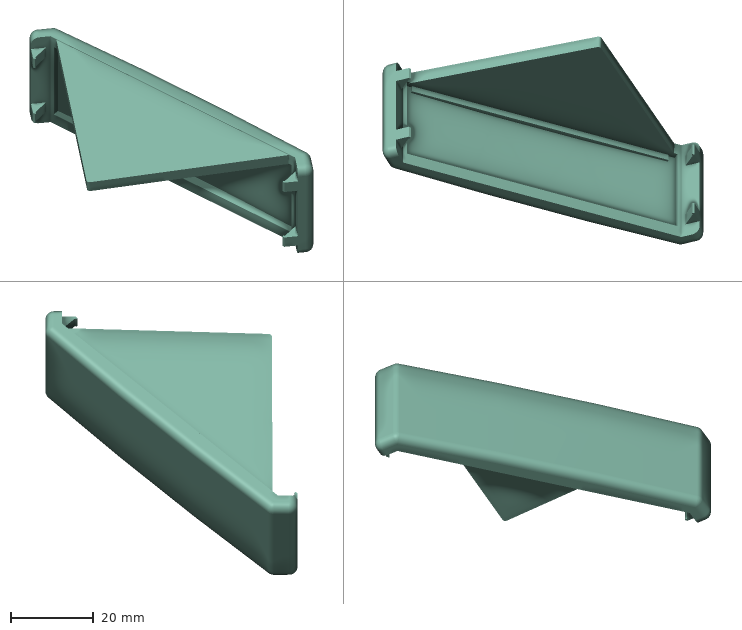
import cadquery as cq
import math

height = 28.0
bend_x = 36.8
wing_thickness = 4.05
wing_reach = 3.4
back_crown = 4.8
back_edge = 4.1
edge_radius = 2.0

pocket_half_length = 35.8
pocket_margin = 3.0
floor_thickness = 2.5
pad_half_length = 33.9
pad_drop = 4.7
pad_recess = 1.0

flange_half_width = 35.0
flange_thickness = 3.0
flange_drop = 0.2
flange_tilt = 4
flange_root = 0.85
tip_radius = 0.8

hook_height = 3.0
hook_margin = 3.55
hook_x = 37.6
hook_tip_x = 37.8
nub = 0.3
nub_top = -5.15
nub_height = 0.5

wing_offset = wing_thickness / math.sqrt(2)
wing_inner_end = (bend_x + wing_reach, -wing_reach)
wing_outer_end = (wing_inner_end[0] + wing_offset, wing_inner_end[1] + wing_offset)
back_bend_x = wing_outer_end[0] + wing_outer_end[1] - back_edge


def mirrored(point):
    return (-point[0], point[1])


def make_plate():
    back_bend = (back_bend_x, back_edge)
    plate = (
        cq.Workplane("XY")
        .moveTo(-bend_x, 0)
        .lineTo(bend_x, 0)
        .lineTo(*wing_inner_end)
        .lineTo(*wing_outer_end)
        .lineTo(*back_bend)
        .threePointArc((0, back_crown), mirrored(back_bend))
        .lineTo(*mirrored(wing_outer_end))
        .lineTo(*mirrored(wing_inner_end))
        .close()
        .extrude(height)
    )
    slack = 0.1
    flat_half_x = bend_x + wing_reach / 2 + slack
    end_half_x = bend_x + wing_reach + slack
    sharp_selectors = (
        cq.selectors.BoxSelector(
            (-flat_half_x, -wing_reach / 2 - slack, -slack),
            (flat_half_x, slack, height + slack),
        ),
        cq.selectors.BoxSelector(
            (-end_half_x, -wing_reach - slack, height / 4),
            (end_half_x, -wing_reach + slack, height * 3 / 4),
        ),
    )
    sharp = [edge for selector in sharp_selectors for edge in plate.edges(selector).vals()]
    rounded = [
        edge for edge in plate.edges().vals()
        if not any(edge.isSame(other) for other in sharp)
    ]
    return plate.newObject(rounded).fillet(edge_radius)


def make_pocket():
    """Pocket with a floor parallel to the back, less the pad behind the flange."""
    floor_edge = back_edge - floor_thickness
    pocket = (
        cq.Workplane("XY", origin=(0, 0, pocket_margin))
        .moveTo(-pocket_half_length, 0)
        .lineTo(pocket_half_length, 0)
        .lineTo(pocket_half_length, floor_edge)
        .threePointArc((0, back_crown - floor_thickness), (-pocket_half_length, floor_edge))
        .close()
        .extrude(height - 2 * pocket_margin)
    )
    pad = cq.Workplane("XY").box(
        2 * pad_half_length, back_crown, pad_drop, centered=(True, False, False)
    ).translate((0, pad_recess, height - pad_drop))
    return pocket.cut(pad)


def make_flange():
    triangle = (
        cq.Workplane("XY")
        .polyline([
            (-flange_half_width, flange_root),
            (flange_half_width, flange_root),
            (flange_half_width, 0),
            (0, -flange_half_width),
            (-flange_half_width, 0),
        ])
        .close()
        .extrude(-flange_thickness)
        .edges("|Z and <Y")
        .fillet(tip_radius)
    )
    return triangle.rotate((0, 0, 0), (1, 0, 0), flange_tilt).translate((0, 0, height - flange_drop))


def make_hook(bottom):
    tip_y = wing_inner_end[1] - (wing_inner_end[0] - hook_tip_x)
    return (
        cq.Workplane("XY", origin=(0, 0, bottom))
        .polyline([
            (hook_x, bend_x - hook_x),
            (hook_x, nub_top),
            (hook_x - nub, nub_top - nub / 2),
            (hook_x - nub, nub_top - nub_height),
            (hook_tip_x, tip_y),
            wing_inner_end,
        ])
        .close()
        .extrude(hook_height)
    )


result = make_plate().cut(make_pocket()).union(make_flange())
for hook_bottom in (hook_margin, height - hook_margin - hook_height):
    hook = make_hook(hook_bottom)
    result = result.union(hook).union(hook.mirror("YZ"))